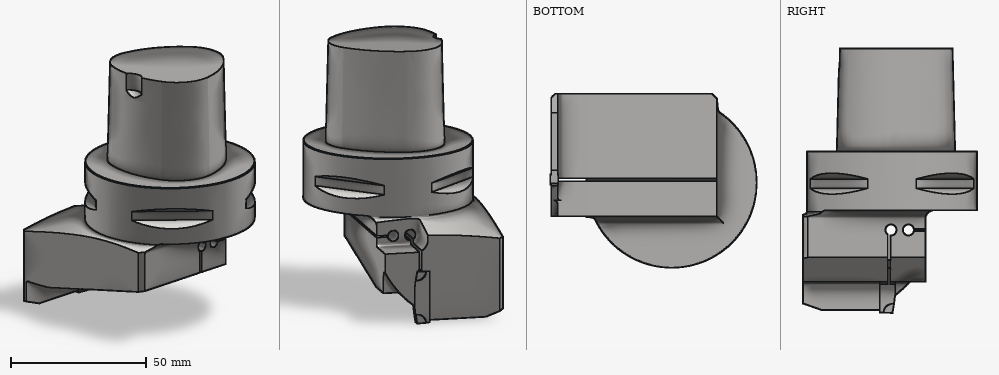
import cadquery as cq
import math


SHANK_HEIGHT = 38.0
SHANK_LOBE_REACH = 23.4
SHANK_FLANK_REACH = 20.5
SHANK_FLANK_ANGLE = 20.5
SHANK_TAPER = 1 / 40

DRIVE_NOTCH_RADIUS = 5.0
DRIVE_NOTCH_AXIS_Y = -22.4
DRIVE_NOTCH_DEPTH = 6.5
DRIVE_NOTCH_TIP_ANGLE = 40

FLANGE_RADIUS = 63.0 / 2
FLANGE_HEIGHT = 22.0
FLANGE_CHAMFER = 0.3
GROOVE_Z = -12.1
GROOVE_FLOOR_DISTANCE = 27.7
GROOVE_FLOOR_HEIGHT = 3.4
GROOVE_WALL_ANGLE = 30

HEAD_LEFT = -44.7
HEAD_RIGHT = 16.7
OVERALL_DEPTH = 64.5
HEAD_FRONT = FLANGE_RADIUS - OVERALL_DEPTH
HEAD_BACK = 12.4
HEAD_LEFT_CHAMFER = 1.6
HEAD_RIGHT_CHAMFER = 1.8
HEAD_FLANGE_FILLET = 3.0
OVERSHOOT = 9.8
CHAMFER_OVERSHOOT = 2.0

SHOULDER_Z = -23.1
SHOULDER_SLOPE = 15
SHOULDER_FILLET = 1.0
SHOULDER_OUTER_RADIUS = 68.6

BLADE_BACK = -42.1
UNDERSIDE_Z = -48.4
UNDERSIDE_FLAT_END = -31.3
UNDERSIDE_RIGHT_Z = -39.4
ROOT_FILLET = 1.0
BLADE_BOTTOM = -58.9
BLADE_RAMP_START_Y = -26.0
BLADE_FRONT_BOTTOM = -56.4

JAW_EDGE_TOP = (HEAD_BACK, -40.1)
JAW_EDGE_MIDDLE = (6.7, -48.3)
JAW_EDGE_BOTTOM = (1.2, -53.4)
JAW_ROOT_FILLET = 1.4

STEP_WALL_X = -31.8
STEP_WALL_Y = -3.9
STEP_FLOOR_Z = -32.9
STEP_CORNER_RADIUS = 4.5
STEP_END_FILLET = 1.1

RELIEF_HOLE_DIAMETER = 4.0
RELIEF_HOLE_Z = -29.2
BACK_HOLE_Y = 6.1
JAW_HOLE_Y = -0.4
BACK_SLIT_WIDTH = 0.7
JAW_SLIT_WIDTH = 1.0
JAW_SLIT_Y = -1.1

INSERT_BOTTOM = -60.0
INSERT_TOP = -40.2
INSERT_MIDDLE_Z = (INSERT_TOP + INSERT_BOTTOM) / 2
INSERT_FRONT = -4.6
INSERT_RAKE_Y = 1.2
INSERT_TIP_Y = 0.2
INSERT_NECK_Y = 0.8
INSERT_END_RISE = 0.2
TIP_OVERHANG = 0.34
TIP_WIDTH = 3.0
TIP_HEIGHT = 3.4
TIP_DEPTH_Y = -3.1


def box(x_min, x_max, y_min, y_max, z_min, z_max):
    """Axis-aligned box between two corners."""
    size = (x_max - x_min, y_max - y_min, z_max - z_min)
    return cq.Workplane("XY").box(*size, centered=False).translate((x_min, y_min, z_min))


def polar(distance, angle, center=(0, 0)):
    """Point at a distance and an angle in degrees from a center."""
    radians = math.radians(angle)
    return (center[0] + distance * math.cos(radians), center[1] + distance * math.sin(radians))


def lobed_outline(z, inset):
    """Three lobe arcs and three flatter flank arcs, all tangent, one lobe toward +Y."""
    flank_angle = math.radians(SHANK_FLANK_ANGLE)
    lobe_ratio = math.sin(flank_angle) / math.cos(math.pi / 6)
    flank_ratio = math.cos(flank_angle) - lobe_ratio / 2
    center_distance = (SHANK_LOBE_REACH - SHANK_FLANK_REACH) / (lobe_ratio + flank_ratio - 1)
    lobe_offset = center_distance * lobe_ratio
    flank_offset = center_distance * flank_ratio
    lobe_radius = SHANK_LOBE_REACH - lobe_offset - inset
    flank_radius = SHANK_FLANK_REACH + flank_offset - inset

    outline = cq.Workplane("XY", origin=(0, 0, z))
    lobe_half_sweep = 60 - SHANK_FLANK_ANGLE
    for i in range(3):
        lobe_direction = 90 + 120 * i
        flank_direction = lobe_direction + 60
        lobe_center = polar(lobe_offset, lobe_direction)
        flank_center = polar(-flank_offset, flank_direction)
        if i == 0:
            outline = outline.moveTo(*polar(lobe_radius, lobe_direction - lobe_half_sweep, lobe_center))
        outline = outline.threePointArc(
            polar(lobe_radius, lobe_direction, lobe_center),
            polar(lobe_radius, lobe_direction + lobe_half_sweep, lobe_center),
        ).threePointArc(
            polar(flank_radius, flank_direction, flank_center),
            polar(flank_radius, flank_direction + SHANK_FLANK_ANGLE, flank_center),
        )
    return outline.close().val()


def make_shank():
    base = lobed_outline(0, 0)
    top = lobed_outline(SHANK_HEIGHT, SHANK_TAPER * SHANK_HEIGHT)
    shank = cq.Workplane(cq.Solid.makeLoft([base, top], True))
    shoulder_z = SHANK_HEIGHT - DRIVE_NOTCH_DEPTH
    tip_z = shoulder_z - DRIVE_NOTCH_RADIUS * math.tan(math.radians(DRIVE_NOTCH_TIP_ANGLE))
    notch = (
        cq.Workplane("XZ")
        .moveTo(0, tip_z)
        .lineTo(DRIVE_NOTCH_RADIUS, shoulder_z)
        .lineTo(DRIVE_NOTCH_RADIUS, SHANK_HEIGHT + OVERSHOOT)
        .lineTo(0, SHANK_HEIGHT + OVERSHOOT)
        .close()
        .revolve(360, (0, 0), (0, 1))
        .translate((0, DRIVE_NOTCH_AXIS_Y, 0))
    )
    return shank.cut(notch)


def make_flange():
    return (
        cq.Workplane("XY").circle(FLANGE_RADIUS).extrude(-FLANGE_HEIGHT)
        .faces(">Z").edges().chamfer(FLANGE_CHAMFER)
    )


def gripper_grooves():
    """Four flared straight grooves, one on each diagonal."""
    outer = FLANGE_RADIUS + OVERSHOOT
    half_floor = GROOVE_FLOOR_HEIGHT / 2
    flare = (outer - GROOVE_FLOOR_DISTANCE) * math.tan(math.radians(GROOVE_WALL_ANGLE))
    groove = (
        cq.Workplane("XZ")
        .moveTo(GROOVE_FLOOR_DISTANCE, GROOVE_Z - half_floor)
        .lineTo(GROOVE_FLOOR_DISTANCE, GROOVE_Z + half_floor)
        .lineTo(outer, GROOVE_Z + half_floor + flare)
        .lineTo(outer, GROOVE_Z - half_floor - flare)
        .close()
        .extrude(FLANGE_RADIUS, both=True)
    )
    return [groove.rotate((0, 0, 0), (0, 0, 1), 45 + 90 * i) for i in range(4)]


def head_block():
    """Block under the flange, flared into it by fillets on the right and back sides."""
    flange_bottom = -FLANGE_HEIGHT
    plate_top = flange_bottom + OVERSHOOT
    block = box(HEAD_LEFT, HEAD_RIGHT, HEAD_FRONT, HEAD_BACK, BLADE_BOTTOM, flange_bottom)
    plate = box(
        HEAD_LEFT, HEAD_RIGHT + OVERSHOOT, HEAD_FRONT, HEAD_BACK + OVERSHOOT, flange_bottom, plate_top
    )
    middle_x = (HEAD_LEFT + HEAD_RIGHT) / 2
    middle_y = (HEAD_FRONT + HEAD_BACK) / 2
    right_edge = cq.selectors.NearestToPointSelector((HEAD_RIGHT, middle_y, flange_bottom))
    back_edge = cq.selectors.NearestToPointSelector((middle_x, HEAD_BACK, flange_bottom))
    flared_edges = cq.selectors.SumSelector(right_edge, back_edge)
    return block.union(plate).edges(flared_edges).fillet(HEAD_FLANGE_FILLET)


def shoulder_envelope():
    """Solid of revolution: flange cylinder, concave fillet and conical shoulder."""
    slope = math.radians(SHOULDER_SLOPE)
    tangent_length = SHOULDER_FILLET * math.tan((math.pi / 2 - slope) / 2)
    fillet_start = (FLANGE_RADIUS, SHOULDER_Z + tangent_length)
    fillet_end = (
        FLANGE_RADIUS + tangent_length * math.cos(slope),
        SHOULDER_Z - tangent_length * math.sin(slope),
    )
    middle_angle = math.pi + (math.pi / 2 - slope) / 2
    fillet_middle = (
        fillet_start[0] + SHOULDER_FILLET * (1 + math.cos(middle_angle)),
        fillet_start[1] + SHOULDER_FILLET * math.sin(middle_angle),
    )
    rim_drop = (SHOULDER_OUTER_RADIUS - FLANGE_RADIUS) * math.tan(slope)
    lowest = INSERT_BOTTOM - OVERSHOOT
    return (
        cq.Workplane("XZ")
        .moveTo(0, -FLANGE_HEIGHT)
        .lineTo(FLANGE_RADIUS, -FLANGE_HEIGHT)
        .lineTo(*fillet_start)
        .threePointArc(fillet_middle, fillet_end)
        .lineTo(SHOULDER_OUTER_RADIUS, SHOULDER_Z - rim_drop)
        .lineTo(SHOULDER_OUTER_RADIUS, lowest)
        .lineTo(0, lowest)
        .close()
        .revolve(360, (0, 0), (0, 1))
    )


def corner_chamfer(x, chamfer, direction):
    """Wedge that chamfers a vertical front edge; direction points into the head along X."""
    outer_x = x - direction * CHAMFER_OVERSHOOT
    outer_y = HEAD_FRONT + chamfer + CHAMFER_OVERSHOOT
    return (
        cq.Workplane("XY")
        .polyline([(x + direction * chamfer, HEAD_FRONT), (outer_x, HEAD_FRONT), (outer_x, outer_y)])
        .close()
        .extrude(BLADE_BOTTOM)
    )


def underside_cut():
    """Space behind the blade and under the sloping underside."""
    slope = (UNDERSIDE_RIGHT_Z - UNDERSIDE_Z) / (HEAD_RIGHT - UNDERSIDE_FLAT_END)
    far_right = HEAD_RIGHT + OVERSHOOT
    lowest = BLADE_BOTTOM - OVERSHOOT
    return (
        cq.Workplane("XZ", origin=(0, HEAD_BACK + OVERSHOOT, 0))
        .moveTo(BLADE_BACK, lowest)
        .lineTo(BLADE_BACK, UNDERSIDE_Z)
        .lineTo(UNDERSIDE_FLAT_END, UNDERSIDE_Z)
        .lineTo(far_right, UNDERSIDE_RIGHT_Z + slope * OVERSHOOT)
        .lineTo(far_right, lowest)
        .close()
        .extrude(HEAD_BACK - HEAD_FRONT + 2 * OVERSHOOT)
        .edges(cq.selectors.NearestToPointSelector((BLADE_BACK, (HEAD_FRONT + HEAD_BACK) / 2, UNDERSIDE_Z)))
        .fillet(ROOT_FILLET)
    )


def jaw_relief():
    """Space in front of the head, outside the curved blade edge, with a filleted root."""
    far_back = HEAD_BACK + OVERSHOOT
    start_x = HEAD_LEFT - OVERSHOOT
    return (
        cq.Workplane("YZ", origin=(start_x, 0, 0))
        .moveTo(*JAW_EDGE_TOP)
        .threePointArc(JAW_EDGE_MIDDLE, JAW_EDGE_BOTTOM)
        .lineTo(far_back, JAW_EDGE_BOTTOM[1])
        .lineTo(far_back, JAW_EDGE_TOP[1])
        .close()
        .extrude(BLADE_BACK - start_x)
        .edges(cq.selectors.NearestToPointSelector((BLADE_BACK, *JAW_EDGE_MIDDLE)))
        .fillet(JAW_ROOT_FILLET)
    )


def blade_end_cut():
    """Clears all below the underside that lies outside the curved blade edge."""
    far_back = HEAD_BACK + OVERSHOOT
    lowest = BLADE_BOTTOM - OVERSHOOT
    inside_insert_y = (INSERT_FRONT + INSERT_RAKE_Y) / 2
    outside_edge = (
        cq.Workplane("YZ", origin=(HEAD_LEFT - OVERSHOOT, 0, 0))
        .moveTo(*JAW_EDGE_TOP)
        .threePointArc(JAW_EDGE_MIDDLE, JAW_EDGE_BOTTOM)
        .lineTo(inside_insert_y, JAW_EDGE_BOTTOM[1])
        .lineTo(inside_insert_y, lowest)
        .lineTo(far_back, lowest)
        .lineTo(far_back, JAW_EDGE_TOP[1])
        .close()
        .extrude(2 * OVERSHOOT)
    )
    below = box(HEAD_LEFT - OVERSHOOT, HEAD_RIGHT, HEAD_FRONT, far_back, lowest, UNDERSIDE_Z)
    return outside_edge.intersect(below)


def blade_ramp():
    """Wedge under the front end of the blade."""
    return (
        cq.Workplane("YZ", origin=(HEAD_LEFT, 0, 0))
        .polyline([
            (BLADE_RAMP_START_Y, BLADE_BOTTOM),
            (HEAD_FRONT, BLADE_FRONT_BOTTOM),
            (HEAD_FRONT, BLADE_BOTTOM),
        ])
        .close()
        .extrude(BLADE_BACK - HEAD_LEFT)
    )


def jaw_step():
    """Step above the jaw, rounded along its inner corner and at its end wall."""
    start_x = HEAD_LEFT - OVERSHOOT
    cutter = box(start_x, STEP_WALL_X, STEP_WALL_Y, HEAD_BACK + OVERSHOOT, STEP_FLOOR_Z, 0)
    rounded = cutter.edges("|X and <Y and <Z").fillet(STEP_CORNER_RADIUS)
    return rounded.faces("<Y or <Z").edges(">X").fillet(STEP_END_FILLET)


def clamping_slits():
    """Two slits with relief holes that free the jaw; all run through along X."""
    start_x = HEAD_LEFT - OVERSHOOT
    end_x = HEAD_RIGHT + OVERSHOOT
    holes = (
        cq.Workplane("YZ", origin=(start_x, 0, 0))
        .pushPoints([(BACK_HOLE_Y, RELIEF_HOLE_Z), (JAW_HOLE_Y, RELIEF_HOLE_Z)])
        .circle(RELIEF_HOLE_DIAMETER / 2)
        .extrude(end_x - start_x)
    )
    back_slit = box(
        start_x, end_x, BACK_HOLE_Y, HEAD_BACK + OVERSHOOT,
        RELIEF_HOLE_Z - BACK_SLIT_WIDTH / 2, RELIEF_HOLE_Z + BACK_SLIT_WIDTH / 2,
    )
    jaw_slit = box(
        start_x, end_x, JAW_SLIT_Y - JAW_SLIT_WIDTH / 2, JAW_SLIT_Y + JAW_SLIT_WIDTH / 2,
        BLADE_BOTTOM - OVERSHOOT, RELIEF_HOLE_Z,
    )
    return [holes, back_slit, jaw_slit]


def make_head():
    cutters = [
        corner_chamfer(HEAD_LEFT, HEAD_LEFT_CHAMFER, 1),
        corner_chamfer(HEAD_RIGHT, HEAD_RIGHT_CHAMFER, -1),
        underside_cut(),
        jaw_relief(),
        blade_end_cut(),
        blade_ramp(),
        jaw_step(),
        *clamping_slits(),
    ]
    head = head_block().intersect(shoulder_envelope())
    for cutter in cutters:
        head = head.cut(cutter)
    return head


def make_insert():
    """Bar as thick as the blade, with a wider cutting tip at each end."""
    neck_z = INSERT_BOTTOM + TIP_HEIGHT
    bar_half = (
        cq.Workplane("YZ", origin=(HEAD_LEFT, 0, 0))
        .moveTo(INSERT_TIP_Y, INSERT_BOTTOM)
        .lineTo(INSERT_NECK_Y, neck_z)
        .lineTo(INSERT_RAKE_Y, JAW_EDGE_BOTTOM[1])
        .lineTo(INSERT_RAKE_Y, INSERT_MIDDLE_Z)
        .lineTo(INSERT_FRONT, INSERT_MIDDLE_Z)
        .lineTo(INSERT_FRONT, INSERT_BOTTOM + INSERT_END_RISE)
        .close()
        .extrude(BLADE_BACK - HEAD_LEFT)
    )
    end_slope = INSERT_END_RISE / (INSERT_TIP_Y - INSERT_FRONT)
    tip_end_z = INSERT_BOTTOM + end_slope * (INSERT_TIP_Y - TIP_DEPTH_Y)
    round_share = math.sqrt(0.5)
    arc_middle = (
        INSERT_TIP_Y - (INSERT_TIP_Y - TIP_DEPTH_Y) * round_share,
        INSERT_BOTTOM + TIP_HEIGHT * round_share,
    )
    tip = (
        cq.Workplane("YZ", origin=(HEAD_LEFT - TIP_OVERHANG, 0, 0))
        .moveTo(INSERT_TIP_Y, INSERT_BOTTOM)
        .lineTo(INSERT_NECK_Y, neck_z)
        .lineTo(INSERT_TIP_Y, neck_z)
        .threePointArc(arc_middle, (TIP_DEPTH_Y, tip_end_z))
        .close()
        .extrude(TIP_WIDTH)
    )
    half = bar_half.union(tip)
    return half.union(half.mirror("XY", (0, 0, INSERT_MIDDLE_Z))).clean()


def make_holder(insert):
    """Shank, flange and head in one piece, with a seat that matches the insert."""
    flange = make_flange()
    for groove in gripper_grooves():
        flange = flange.cut(groove)
    return flange.union(make_shank()).union(make_head()).cut(insert)


insert = make_insert()
holder = make_holder(insert)
result = cq.Compound.makeCompound([*holder.solids().vals(), *insert.solids().vals()])